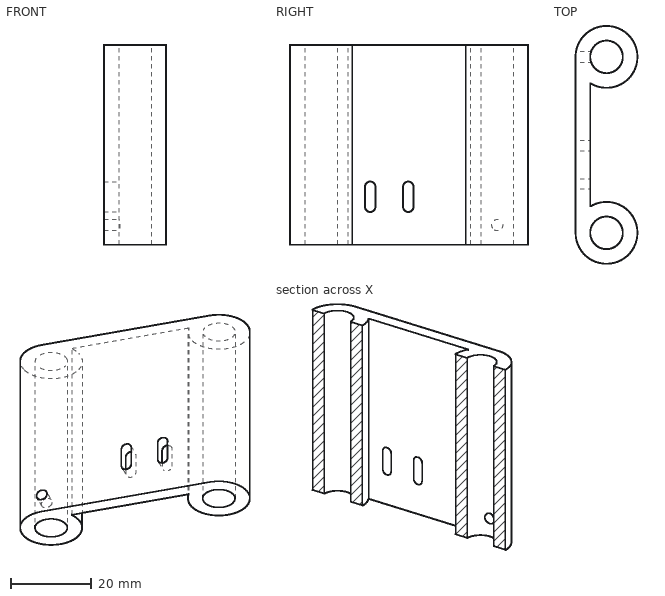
import cadquery as cq

length = 59.5
height = 50.0
tube_diameter = 15.5
bore_diameter = 8.1

tube_radius = tube_diameter / 2
tube_offset = length / 2 - tube_radius
wall = (tube_diameter - bore_diameter) / 2

slot_width = 2.55
slot_height = 7.55
slot_center_z = 12.0
slot_positions_y = (-0.2, -9.7)

pin_hole_diameter = 2.8
pin_hole_z = 5.0


def make_body():
    """Flat plate joining two bored tubes."""
    tube_centers = [(0, -tube_offset), (0, tube_offset)]
    plate = cq.Workplane("XY").box(wall, 2 * tube_offset, height, centered=(False, True, False))
    plate = plate.translate((-tube_radius, 0, 0))
    tubes = cq.Workplane("XY").pushPoints(tube_centers).circle(tube_radius).extrude(height)
    bores = cq.Workplane("XY").pushPoints(tube_centers).circle(bore_diameter / 2).extrude(height)
    return plate.union(tubes).cut(bores)


def make_slots():
    """Cutters for the slots, long axis along Z."""
    centers = [(y, slot_center_z) for y in slot_positions_y]
    return (
        cq.Workplane("YZ", origin=(-tube_radius, 0, 0))
        .pushPoints(centers)
        .slot2D(slot_height, slot_width, 90)
        .extrude(wall)
    )


def make_pin_hole():
    """Cutter from the -X face to the bore axis, so only one wall is pierced."""
    return (
        cq.Workplane("YZ", origin=(-tube_radius, 0, 0))
        .center(tube_offset, pin_hole_z)
        .circle(pin_hole_diameter / 2)
        .extrude(tube_radius)
    )


result = make_body().cut(make_slots()).cut(make_pin_hole())